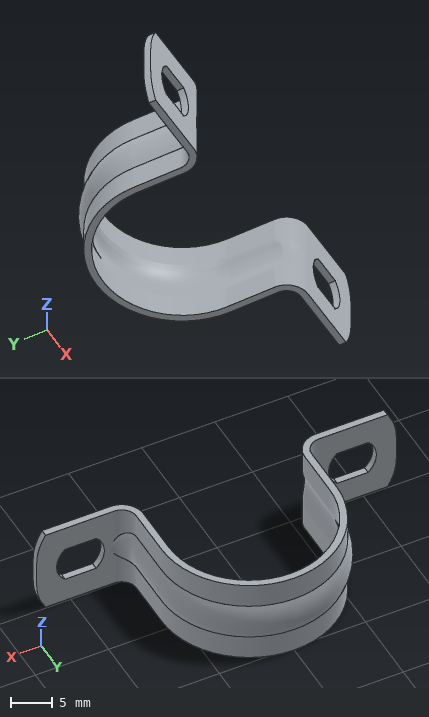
import cadquery as cq
import math

overall_length = 49.2
strap_width = 12.0
thickness = 1.0
arch_inner_radius = 11.0
arch_outer_radius = arch_inner_radius + thickness
arch_center_y = 9.6
bend_outer_radius = 3.0
bend_inner_radius = bend_outer_radius - thickness
bend_center_x = arch_inner_radius + bend_outer_radius
flange_end_radius = 7.65
flange_end_flat = 3.75

bead_height = 0.65
bead_outer_radius = 5.4
bead_inner_radius = bead_outer_radius - thickness
bead_axis_radius = arch_outer_radius + bead_height - bead_outer_radius
buried_depth = 0.25
groove_fillet = 2.0
edge_tolerance = 0.05

hole_spacing = 37.2
hole_diameter = 6.5
hole_height = 4.9


def u_path_area(radius, half_width):
    """Flat U region of given arch radius and leg spacing, open end on Y = 0."""
    return (
        cq.Workplane("XY")
        .moveTo(-half_width, 0)
        .lineTo(-half_width, arch_center_y)
        .threePointArc((0, arch_center_y + radius), (half_width, arch_center_y))
        .lineTo(half_width, 0)
        .close()
        .extrude(strap_width / 2, both=True)
    )


def make_strap():
    """Bent strip of constant thickness, without bead or holes."""
    flange_end_x = overall_length / 2
    diagonal = math.cos(math.radians(45))

    outer = u_path_area(arch_outer_radius, arch_outer_radius)
    strap = outer.cut(u_path_area(arch_inner_radius, arch_inner_radius))

    corner_cut = cq.Workplane("XY").box(overall_length, 2 * bend_outer_radius, strap_width)
    strap = strap.cut(corner_cut)
    for side in (-1, 1):
        def bend_point(radius):
            return (
                side * (bend_center_x - radius * diagonal),
                bend_outer_radius - radius * diagonal,
            )

        foot = (
            cq.Workplane("XY")
            .moveTo(side * arch_inner_radius, bend_outer_radius)
            .threePointArc(bend_point(bend_outer_radius), (side * bend_center_x, 0))
            .lineTo(side * flange_end_x, 0)
            .lineTo(side * flange_end_x, thickness)
            .lineTo(side * bend_center_x, thickness)
            .threePointArc(bend_point(bend_inner_radius), (side * arch_outer_radius, bend_outer_radius))
            .close()
            .extrude(strap_width / 2, both=True)
        )
        strap = strap.union(foot)
    return strap


def segment_half_chord(section_radius, base_radius):
    """Half height of the bead section where it meets the given arch radius."""
    return math.sqrt(section_radius**2 - (base_radius - bead_axis_radius) ** 2)


def bead_section(section_radius, base_radius):
    """Circular segment whose chord lies at the given arch radius."""
    crest = bead_axis_radius + section_radius
    half_chord = segment_half_chord(section_radius, base_radius)
    return (
        cq.Sketch()
        .segment((base_radius, half_chord), (base_radius, -half_chord))
        .arc((base_radius, -half_chord), (crest, 0), (base_radius, half_chord))
        .assemble()
    )


def bead_body(section_radius, base_radius, leg_end_y):
    """Bead section carried round the arch and straight down both legs."""
    section = bead_section(section_radius, base_radius)
    plane = cq.Workplane("XZ", origin=(0, arch_center_y, 0))
    leg = plane.placeSketch(section).extrude(arch_center_y - leg_end_y)
    arch = plane.placeSketch(section).revolve(180, (0, 0, 0), (0, 1, 0))
    return arch.union(leg).union(leg.mirror("YZ"))


def add_bead(strap):
    """Raise the bead on the outside and fade its two ends into the flanges."""
    base_radius = arch_outer_radius - buried_depth
    bead = bead_body(bead_outer_radius, base_radius, bend_outer_radius)

    turn_axis_x = arch_outer_radius + bead_height + bend_inner_radius
    bead_end = (
        cq.Workplane("XZ", origin=(0, bend_outer_radius, 0))
        .placeSketch(bead_section(bead_outer_radius, base_radius))
        .revolve(90, (turn_axis_x, 0, 0), (turn_axis_x, 1, 0))
    )
    return strap.union(bead).union(bead_end).union(bead_end.mirror("YZ"))


def cut_groove(strap):
    """Hollow the bead from the inside and round the whole rim of the groove."""
    grooved = strap.cut(
        bead_body(bead_inner_radius, arch_inner_radius - buried_depth, -thickness)
    )

    rim_half_height = segment_half_chord(bead_inner_radius, arch_inner_radius)

    def is_rim(edge):
        box = edge.BoundingBox()
        crosses_groove = edge.geomType() == "CIRCLE" and box.ylen < edge_tolerance
        within_rim = max(abs(box.zmin), abs(box.zmax)) < rim_half_height + edge_tolerance
        inside_arch = max(abs(box.xmin), abs(box.xmax)) < arch_outer_radius
        return within_rim and inside_arch and not crosses_groove

    rim = grooved.edges().filter(is_rim)
    return rim.fillet(groove_fillet)


def cut_mounting_holes(strap):
    """Double-D hole through each flange."""
    circles = (
        cq.Workplane("XZ")
        .pushPoints([(-hole_spacing / 2, 0), (hole_spacing / 2, 0)])
        .circle(hole_diameter / 2)
        .extrude(-thickness)
    )
    flat_band = cq.Workplane("XY").box(overall_length, 4 * thickness, hole_height)
    return strap.cut(circles.intersect(flat_band))


def round_flange_ends(strap):
    """Trim both flange ends to a short flat with a tangent arc to each corner."""
    half_length = overall_length / 2
    half_width = strap_width / 2
    half_flat = flange_end_flat / 2
    arc_angle = math.asin((half_width - half_flat) / flange_end_radius)

    def arc_point(angle, x_side, z_side):
        return (
            x_side * (half_length - flange_end_radius * (1 - math.cos(angle))),
            z_side * (half_flat + flange_end_radius * math.sin(angle)),
        )

    outline = (
        cq.Workplane("XZ")
        .moveTo(*arc_point(arc_angle, -1, -1))
        .lineTo(*arc_point(arc_angle, 1, -1))
        .threePointArc(arc_point(arc_angle / 2, 1, -1), arc_point(0, 1, -1))
        .lineTo(*arc_point(0, 1, 1))
        .threePointArc(arc_point(arc_angle / 2, 1, 1), arc_point(arc_angle, 1, 1))
        .lineTo(*arc_point(arc_angle, -1, 1))
        .threePointArc(arc_point(arc_angle / 2, -1, 1), arc_point(0, -1, 1))
        .lineTo(*arc_point(0, -1, -1))
        .threePointArc(arc_point(arc_angle / 2, -1, -1), arc_point(arc_angle, -1, -1))
        .close()
        .extrude(-overall_length)
    )
    return strap.intersect(outline)


result = make_strap()
result = add_bead(result)
result = cut_groove(result)
result = cut_mounting_holes(result)
result = round_flange_ends(result)